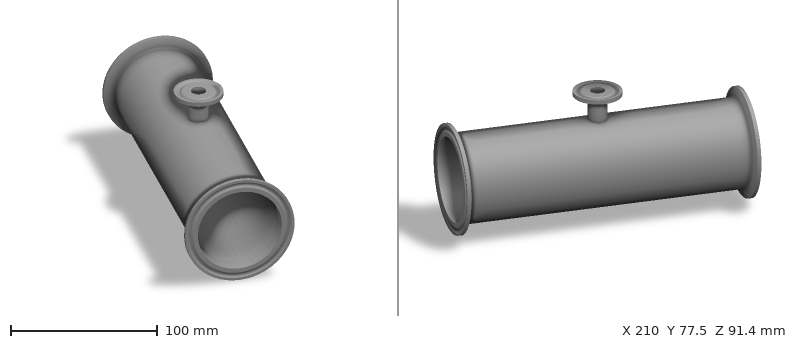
import cadquery as cq
import math

LENGTH = 210.0
TUBE_RADIUS = 63.5 / 2
BORE_RADIUS = 59.5 / 2
FLANGE_RADIUS = 77.5 / 2
FLANGE_RIM = 2.7
FLANGE_CONE_ANGLE = 20.0
FLANGE_NECK_FILLET = 1.9
FLANGE_GROOVE_RADIUS = 34.9

OVERALL_HEIGHT = 91.4
BRANCH_TOP = OVERALL_HEIGHT - FLANGE_RADIUS
BRANCH_RADIUS = 13.9 / 2
BRANCH_BORE_RADIUS = 10.5 / 2
BRANCH_FLANGE_RADIUS = 34.0 / 2
BRANCH_RIM = 3.2
BRANCH_CONE_ANGLE = 21.0
BRANCH_NECK_FILLET = 2.3
BRANCH_GROOVE_RADIUS = 13.2

GROOVE_HALF_WIDTH = 1.7
GROOVE_DEPTH = 1.0
GROOVE_LIP = 0.8


def level_selector(z, radius):
    """Select the circular edges at height z that fit within the given radius."""
    tolerance = 0.2
    reach = radius + tolerance
    return cq.selectors.BoxSelector(
        (-reach, -reach, z - tolerance), (reach, reach, z + tolerance), boundingbox=True
    )


def ferrule(flange_radius, tube_radius, rim, cone_angle, neck_fillet, groove_radius, length):
    """Solid clamp ferrule: face at z = 0, tube running to z = -length."""
    cone_depth = (flange_radius - tube_radius) * math.tan(math.radians(cone_angle))
    neck_z = -rim - cone_depth
    body = (
        cq.Workplane("XZ")
        .moveTo(0, 0)
        .lineTo(flange_radius, 0)
        .lineTo(flange_radius, -rim)
        .lineTo(tube_radius, neck_z)
        .lineTo(tube_radius, -length)
        .lineTo(0, -length)
        .close()
        .revolve(360, (0, 0), (0, 1))
    )
    body = body.edges(level_selector(neck_z, flange_radius)).fillet(neck_fillet)
    groove = (
        cq.Workplane("XZ")
        .moveTo(groove_radius - GROOVE_HALF_WIDTH, 0)
        .threePointArc((groove_radius, -GROOVE_DEPTH), (groove_radius + GROOVE_HALF_WIDTH, 0))
        .close()
        .revolve(360, (0, 0), (0, 1))
    )
    body = body.cut(groove)
    lip_edges = level_selector(0, groove_radius + GROOVE_HALF_WIDTH)
    return body.edges(lip_edges).fillet(GROOVE_LIP)


def main_tube():
    half = ferrule(
        FLANGE_RADIUS, TUBE_RADIUS, FLANGE_RIM, FLANGE_CONE_ANGLE,
        FLANGE_NECK_FILLET, FLANGE_GROOVE_RADIUS, LENGTH / 2,
    ).translate((0, 0, LENGTH / 2))
    whole = half.union(half.rotate((0, 0, 0), (1, 0, 0), 180))
    return whole.rotate((0, 0, 0), (0, 1, 0), 90)


def branch():
    return ferrule(
        BRANCH_FLANGE_RADIUS, BRANCH_RADIUS, BRANCH_RIM, BRANCH_CONE_ANGLE,
        BRANCH_NECK_FILLET, BRANCH_GROOVE_RADIUS, BRANCH_TOP,
    ).translate((0, 0, BRANCH_TOP))


main_bore = cq.Workplane("YZ").circle(BORE_RADIUS).extrude(LENGTH / 2, both=True)
branch_bore = cq.Workplane("XY").circle(BRANCH_BORE_RADIUS).extrude(BRANCH_TOP)

result = main_tube().union(branch()).cut(main_bore).cut(branch_bore)